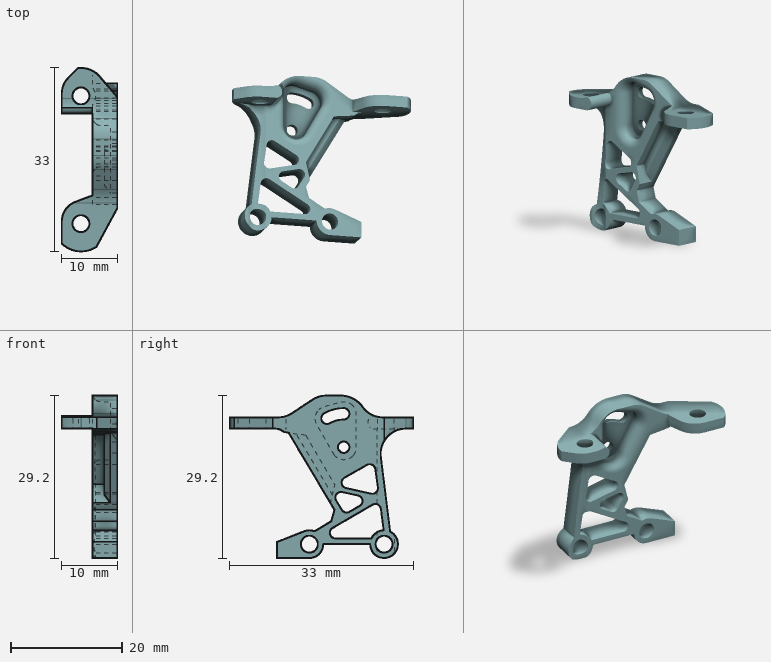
import cadquery as cq
import math

plate_thickness = 4.5
overall_depth = 10.0
bolt_hole_diameter = 3.0
bolt_boss_radius = 2.5
foot_hole_y = -13.43

lug_hole_x = -6.53
front_lug_hole_y = 0.23
rear_lug_hole_y = -22.73
lug_end_radius = 5.0
lug_bottom_z = 20.75
lug_top_z = 22.8
front_tip_y = -1.75
front_tip_radius = 1.2
rear_lug_start_y = -17.65
trim_bottom_z = 15.5
trim_margin = 1.65

top_z = 29.23 - bolt_boss_radius
front_end_y = front_lug_hole_y + lug_end_radius
rear_end_y = rear_lug_hole_y - lug_end_radius
link_bar_height = 1.05
foot_end_y = -19.25
foot_end_z = 0.4

window_radius = 1.0

pocket_corners = [(-7.25, 17.42), (-7.25, 23.42), (-10.23, 22.63)]
pocket_radius = 2.2
pocket_lip_radius = 1.5
pocket_depth = 3.2
pivot_hole_diameter = 2.0
slot_radius = 6.0
slot_sweep = 30

edge_bottom = (-9.7, 7.45)
edge_top = (-17.15, 20.0)
recess_depth = 2.15
recess_chamfer = 1.05

clearance_radius = 2.57

near_x = -plate_thickness
far_x = -overall_depth


def side_plane(x):
    """Sketch plane facing +X, with local axes (Y, Z)."""
    return cq.Workplane("YZ", origin=(x, 0, 0))


def box(x_range, y_range, z_range):
    """Axis-aligned block between the given limits."""
    sizes = [high - low for low, high in (x_range, y_range, z_range)]
    corner = (x_range[0], y_range[0], z_range[0])
    return cq.Workplane("XY", origin=corner).box(*sizes, centered=False)


def side_prism(depth):
    """Outline shared by the plate and its lugs, extruded forward from the back face."""
    outline = (
        side_plane(-depth)
        .moveTo(front_end_y, lug_top_z)
        .lineTo(-0.23, lug_top_z)
        .tangentArcPoint((-3.83, 24.65), relative=False)
        .tangentArcPoint((-7.5, top_z), relative=False)
        .lineTo(-10.45, top_z)
        .tangentArcPoint((-12.93, 25.93), relative=False)
        .lineTo(-16.53, 23.55)
        .tangentArcPoint((-19.0, lug_top_z), relative=False)
        .lineTo(rear_end_y, lug_top_z)
        .lineTo(rear_end_y, lug_bottom_z)
        .lineTo(-19.7, lug_bottom_z)
        .tangentArcPoint((-18.0, 20.15), relative=False)
        .lineTo(*edge_top)
        .lineTo(*edge_bottom)
        .lineTo(-8.95, 6.17)
        .lineTo(-9.5, 4.12)
        .lineTo(-12.47, 2.35)
        .lineTo(foot_hole_y, 0)
        .lineTo(0, 0)
        .lineTo(1.12, 2.18)
        .lineTo(-0.55, 15.67)
        .tangentArcPoint((3.93, lug_bottom_z), relative=False)
        .lineTo(front_end_y, lug_bottom_z)
        .close()
    )
    return outline.extrude(depth)


def window(corners):
    """Triangular through-opening with rounded corners."""
    prism = side_plane(near_x).polyline(corners).close().extrude(plate_thickness)
    return prism.edges("|X").fillet(window_radius)


def bolt_boss(y):
    return side_plane(near_x).center(y, 0).circle(bolt_boss_radius).extrude(plate_thickness)


def foot():
    """Tapered toe running back from the rear boss, tangent to it above and below."""
    span = foot_hole_y - foot_end_y
    distance = math.hypot(span, foot_end_z)
    angle = math.pi - math.atan2(foot_end_z, span) - math.acos(bolt_boss_radius / distance)
    tangent_y = foot_hole_y + bolt_boss_radius * math.cos(angle)
    tangent_z = bolt_boss_radius * math.sin(angle)
    points = [
        (foot_hole_y, 0),
        (tangent_y, tangent_z),
        (foot_end_y, foot_end_z),
        (foot_end_y, -bolt_boss_radius),
        (foot_hole_y, -bolt_boss_radius),
    ]
    return side_plane(near_x).polyline(points).close().extrude(plate_thickness)


def lugs():
    """Both lugs before their plan shape is trimmed; the front one has a rounded inner tip."""
    lug_z = (lug_bottom_z, top_z)
    stock = side_prism(overall_depth)
    front = stock.intersect(box((far_x, 0), (front_tip_y, front_end_y), lug_z))
    rear = stock.intersect(box((far_x, 0), (rear_end_y, rear_lug_start_y), lug_z))
    tip = (
        side_plane(far_x)
        .center(front_tip_y, lug_bottom_z + front_tip_radius)
        .circle(front_tip_radius)
        .extrude(overall_depth)
    )
    return front.union(tip.intersect(stock)).union(rear)


def plan_trim():
    """Material to remove around the plan outline of the lugs."""
    height = top_z - trim_bottom_z
    plan = (
        cq.Workplane("XY", origin=(0, 0, trim_bottom_z))
        .moveTo(0, 0)
        .lineTo(-3.3, 3.9)
        .threePointArc((-4.95, 4.98), (-7.05, front_end_y))
        .lineTo(-8.85, 3.45)
        .tangentArcPoint((far_x, 0.65), relative=False)
        .lineTo(far_x, front_tip_y - front_tip_radius)
        .lineTo(near_x, front_tip_y - front_tip_radius)
        .lineTo(near_x, rear_lug_start_y)
        .lineTo(-7.5, -18.77)
        .tangentArcPoint((far_x, -22.35), relative=False)
        .lineTo(far_x, -26.3)
        .threePointArc((lug_hole_x, rear_end_y), (-3.73, -26.9))
        .lineTo(0, -20.0)
        .close()
        .extrude(height)
    )
    trim_y = (rear_end_y - trim_margin, front_end_y + trim_margin)
    return box((far_x, 0), trim_y, (trim_bottom_z, top_z)).cut(plan)


def pocket():
    """Rounded triangular pocket whose mouth flares out over a convex lip."""

    def rounded_prism(radius, depth):
        return side_plane(near_x).polyline(pocket_corners).close().offset2D(radius).extrude(depth)

    well = rounded_prism(pocket_radius, pocket_depth)
    mouth = rounded_prism(pocket_radius + pocket_lip_radius, pocket_depth)
    collar_stock = rounded_prism(pocket_radius + 2 * pocket_lip_radius, pocket_depth)
    collar = collar_stock.cut(well)
    inner_rim = collar.faces("<X").val().innerWires()[0]
    collar = collar.newObject(inner_rim.Edges()).fillet(pocket_lip_radius)
    return mouth.cut(collar)


def curved_slot():
    """Arc-shaped slot centred on the pivot hole, starting straight above it."""
    center_y, center_z = pocket_corners[0]
    half_width = pivot_hole_diameter / 2

    def point(radius, degrees):
        angle = math.radians(degrees)
        return center_y - radius * math.sin(angle), center_z + radius * math.cos(angle)

    inner = slot_radius - half_width
    outer = slot_radius + half_width
    cap_angle = math.degrees(half_width / slot_radius)
    return (
        side_plane(near_x)
        .moveTo(*point(inner, 0))
        .threePointArc(point(inner, slot_sweep / 2), point(inner, slot_sweep))
        .threePointArc(point(slot_radius, slot_sweep + cap_angle), point(outer, slot_sweep))
        .threePointArc(point(outer, slot_sweep / 2), point(outer, 0))
        .threePointArc(point(slot_radius, -cap_angle), point(inner, 0))
        .close()
        .extrude(plate_thickness)
    )


def edge_recess():
    """Flat step along the rear edge, with a chamfer falling away at the very edge."""
    outline = [(-14.15, 19.65), (-8.9, 10.72), edge_bottom, edge_top]

    def prism(depth):
        return side_plane(near_x).polyline(outline).close().extrude(depth)

    run_y = edge_top[0] - edge_bottom[0]
    run_z = edge_top[1] - edge_bottom[1]
    edge_plane = cq.Plane(origin=(near_x, *edge_bottom), xDir=(1, 0, 0), normal=(0, run_y, run_z))
    wedge = (
        cq.Workplane(edge_plane)
        .polyline([
            (recess_depth, 0),
            (recess_depth + recess_chamfer, 0),
            (recess_depth, recess_chamfer),
        ])
        .close()
        .extrude(math.hypot(run_y, run_z))
    )
    return prism(recess_depth).union(wedge.intersect(prism(recess_depth + recess_chamfer)))


def side_hole(y, z, diameter):
    return side_plane(near_x).center(y, z).circle(diameter / 2).extrude(plate_thickness)


bracket = side_prism(plate_thickness)
bracket = bracket.cut(window([(-1.8, 14.95), (-9.35, 10.65), (-0.92, 8.78)]))
bracket = bracket.cut(window([(-0.8, 7.82), (-12.4, link_bar_height), (0.1, link_bar_height)]))
bracket = bracket.cut(window([(-2.18, 8.18), (-9.8, 9.83), (-7.05, 5.35)]))

bracket = bracket.union(bolt_boss(0)).union(bolt_boss(foot_hole_y)).union(foot())
bracket = bracket.union(lugs()).cut(plan_trim())

bracket = bracket.cut(pocket()).cut(curved_slot()).cut(edge_recess())
bracket = bracket.cut(side_hole(*pocket_corners[0], pivot_hole_diameter))
for bolt_y in (0, foot_hole_y):
    bracket = bracket.cut(side_hole(bolt_y, 0, bolt_hole_diameter))

lug_base = cq.Workplane("XY", origin=(lug_hole_x, 0, lug_bottom_z))
lug_holes = (
    lug_base.pushPoints([(0, front_lug_hole_y), (0, rear_lug_hole_y)])
    .circle(bolt_hole_diameter / 2)
    .extrude(top_z - lug_bottom_z)
)
clearance = (
    lug_base.center(0, front_lug_hole_y)
    .circle(clearance_radius)
    .extrude(-(lug_bottom_z + bolt_boss_radius))
)
result = bracket.cut(lug_holes).cut(clearance)